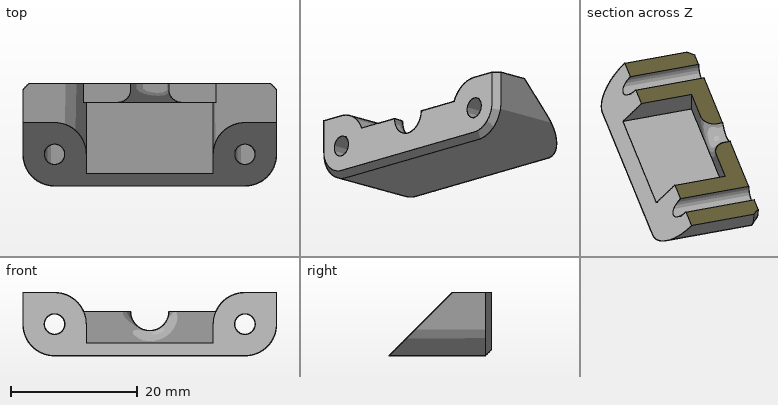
import cadquery as cq

length = 40.0
depth = 16.2
height = 10.0
floor_thickness = 2.0
wall_height = 7.0
wall_thickness = 3.0
hole_diameter = 3.2
notch_diameter = 6.0
notch_flare_radius = 2.0
back_chamfer = 1.0

half_length = length / 2
lug_radius = height / 2
lug_center_x = half_length - lug_radius
pocket_half_width = lug_center_x - lug_radius
notch_radius = notch_diameter / 2
flare_start = wall_thickness - notch_flare_radius
top_depth = depth - height



def make_base():
    """Block with rounded lower corners and a chamfer on its back edges, except along the top."""
    block = cq.Workplane("XY").box(length, depth, height, centered=(True, False, False))
    block = block.translate((0, -depth, 0))
    block = block.edges("|Y and <Z").fillet(lug_radius)
    return block.faces(">Y").edges("not >Z").chamfer(back_chamfer)


def make_lug_outline():
    """Prism under the top outline: two lugs with rounded inner corners and a floor between."""
    outline = (
        cq.Workplane("XZ")
        .moveTo(-half_length, 0)
        .lineTo(half_length, 0)
        .lineTo(half_length, height)
        .lineTo(lug_center_x, height)
        .radiusArc((pocket_half_width, height - lug_radius), -lug_radius)
        .lineTo(pocket_half_width, floor_thickness)
        .lineTo(-pocket_half_width, floor_thickness)
        .lineTo(-pocket_half_width, height - lug_radius)
        .radiusArc((-lug_center_x, height), -lug_radius)
        .lineTo(-half_length, height)
        .close()
    )
    return outline.extrude(depth)


def make_back_wall():
    """Low wall joining the lugs along the back."""
    wall = cq.Workplane("XY").box(
        2 * lug_center_x, wall_thickness, wall_height, centered=(True, False, False)
    )
    return wall.translate((0, -wall_thickness, 0))


def make_notch():
    """Round notch through the back wall, flaring outward toward the pocket."""
    profile = (
        cq.Workplane("XY")
        .lineTo(notch_radius, 0)
        .lineTo(notch_radius, -flare_start)
        .radiusArc((notch_radius + notch_flare_radius, -wall_thickness), -notch_flare_radius)
        .lineTo(0, -wall_thickness)
        .close()
    )
    return profile.revolve(360, (0, 0, 0), (0, 1, 0)).translate((0, 0, wall_height))


def make_front_slope():
    """Wedge removed from the front to leave a 45 degree face."""
    wedge = (
        cq.Workplane("YZ")
        .moveTo(-depth, 0)
        .lineTo(-top_depth, height)
        .lineTo(-depth, height)
        .close()
    )
    return wedge.extrude(half_length, both=True)


def make_holes():
    """One hole through each lug, along Y."""
    centers = [(side * lug_center_x, lug_radius) for side in (-1, 1)]
    return cq.Workplane("XZ").pushPoints(centers).circle(hole_diameter / 2).extrude(depth)


body = make_lug_outline().union(make_back_wall()).intersect(make_base())
result = body.cut(make_notch()).cut(make_front_slope()).cut(make_holes())